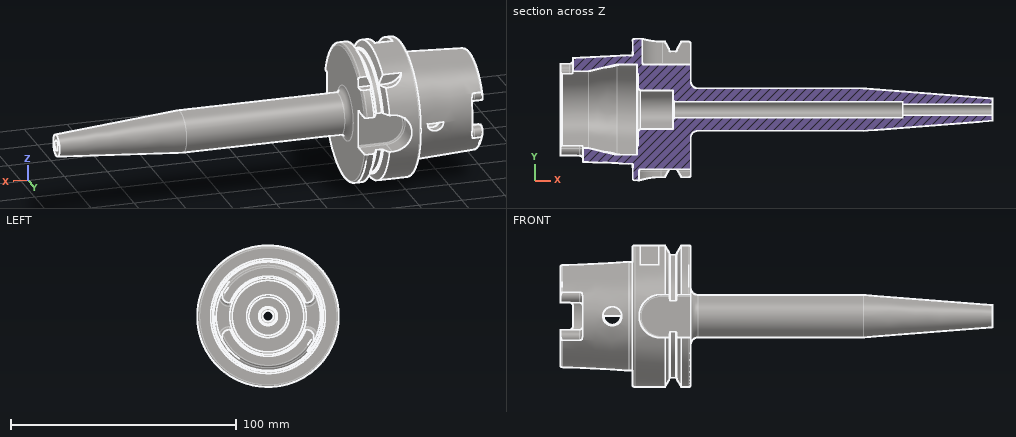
import cadquery as cq
import math


shank_length = 32.0
shank_slope = 1 / 20
gauge_radius = 48.01 / 2
gauge_distance = 6.3
shank_base_radius = gauge_radius + gauge_distance * shank_slope
shank_tip_radius = shank_base_radius - shank_length * shank_slope
shank_tip_round = 1.0
neck_width = 1.8
neck_radius = 48.24 / 2
neck_step = 0.5
face_groove_radius = 25.5
face_groove_depth = 0.4

flange_radius = 63.0 / 2
flange_width = 26.0
flange_edge_round = 1.0
groove_center = 18.1
groove_top_width = 7.2
groove_bottom_width = 3.4
groove_bottom_radius = 27.4
groove_wall_radius = flange_radius - (groove_top_width - groove_bottom_width) / 2 * math.sqrt(3)
groove_round = 0.5

nose_end = 160.0
nose_radius = 19.05 / 2
nose_root_round = 3.0
nose_taper_start = 102.5
nose_tip_radius = 10.0 / 2

mouth_radius = 34.0 / 2
mouth_chamfer = 0.8
chamber_radius = 40.0 / 2
chamber_start = -19.5
chamber_cone_end = -7.0
chamber_floor = 2.0
floor_recess_radius = 15.9
floor_recess_depth = 0.5
tube_seat_radius = 17.0 / 2
tube_seat_chamfer = 1.0
tube_seat_end = 18.0
coolant_radius = 7.0 / 2
coolant_mouth_radius = 8.4 / 2
coolant_end = 120.0
tool_bore_radius = 4.76 / 2

drive_half_width = 6.0
drive_lip_radius = 3.2
drive_end_round = 1.5
drive_front_end = -22.0
drive_back_end = -26.4

access_center = -8.9
access_radius = 7.5 / 2
access_rim_radius = 8.4 / 2
access_recess_depth = 0.2

front_slot = {"start": 3.0, "half_width": 9.6, "floor": 26.5}
back_slot = {"start": 4.5, "half_width": 8.7, "floor": 20.0}
slot_floor_round = 0.7
notch_floor = 19.8
notch_wall = 20.0
notch_radius = 8.0
notch_center = 13.0
flat_start = 3.5
flat_end = 11.7
flat_distance = 29.35
flat_angle = 22.0

reach = 2 * flange_radius


def revolve_profile(points):
    """Turn an (X, radius) outline around the X axis."""
    return cq.Workplane("XY").polyline(points).close().revolve(360, (0, 0, 0), (1, 0, 0))


def shank_radius_at(x):
    return shank_base_radius + x * shank_slope


def make_shank():
    shank = revolve_profile([
        (-shank_length, 0),
        (-shank_length, shank_tip_radius),
        (-neck_width, shank_radius_at(-neck_width)),
        (neck_step - neck_width, neck_radius),
        (face_groove_depth - neck_step, neck_radius),
        (face_groove_depth, neck_radius + neck_step),
        (face_groove_depth, 0),
    ])
    return shank.faces("<X").edges().fillet(shank_tip_round)


def make_flange():
    flange = cq.Workplane("YZ").circle(flange_radius).extrude(flange_width)
    flange = flange.edges().fillet(flange_edge_round)
    top = groove_top_width / 2
    bottom = groove_bottom_width / 2
    groove = revolve_profile([
        (groove_center - bottom, groove_bottom_radius),
        (groove_center - bottom, groove_wall_radius),
        (groove_center - top, flange_radius),
        (groove_center - top, reach),
        (groove_center + top, reach),
        (groove_center + top, flange_radius),
        (groove_center + bottom, groove_wall_radius),
        (groove_center + bottom, groove_bottom_radius),
    ])
    inner_edges = cq.selectors.RadiusNthSelector(0)
    groove = groove.edges("%CIRCLE").edges(inner_edges).fillet(groove_round)
    face_groove = cq.Workplane("YZ").circle(face_groove_radius).extrude(face_groove_depth)
    return flange.cut(groove).cut(face_groove)


def make_nose():
    root = flange_width
    corner = nose_root_round * (1 - math.sqrt(0.5))
    return (
        cq.Workplane("XY")
        .moveTo(root, 0)
        .lineTo(root, nose_radius + nose_root_round)
        .threePointArc(
            (root + corner, nose_radius + corner),
            (root + nose_root_round, nose_radius),
        )
        .lineTo(nose_taper_start, nose_radius)
        .lineTo(nose_end, nose_tip_radius)
        .lineTo(nose_end, 0)
        .close()
        .revolve(360, (0, 0, 0), (1, 0, 0))
    )


def make_bore():
    recess_floor = chamber_floor + floor_recess_depth
    coolant_mouth_end = tube_seat_end + coolant_mouth_radius - coolant_radius
    return revolve_profile([
        (-shank_length, 0),
        (-shank_length, mouth_radius + mouth_chamfer),
        (-shank_length + mouth_chamfer, mouth_radius),
        (chamber_start, mouth_radius),
        (chamber_cone_end, chamber_radius),
        (chamber_floor, chamber_radius),
        (chamber_floor, floor_recess_radius),
        (recess_floor, floor_recess_radius),
        (recess_floor, tube_seat_radius + tube_seat_chamfer),
        (recess_floor + tube_seat_chamfer, tube_seat_radius),
        (tube_seat_end, tube_seat_radius),
        (tube_seat_end, coolant_mouth_radius),
        (coolant_mouth_end, coolant_radius),
        (coolant_end, coolant_radius),
        (coolant_end, tool_bore_radius),
        (nose_end, tool_bore_radius),
        (nose_end, 0),
    ])


def make_drive_slot(side, end):
    """Slot in the shank end toward Y = side, with its outer lips rounded into the taper."""
    lip_z = drive_half_width + drive_lip_radius
    lip_angle = math.asin(lip_z / (shank_tip_radius - drive_lip_radius))
    lip_y = lip_z / math.tan(lip_angle)
    mid_angle = (lip_angle - math.pi / 2) / 2
    tip_y = lip_y + drive_lip_radius * math.cos(lip_angle)
    tip_z = lip_z + drive_lip_radius * math.sin(lip_angle)
    mid_y = lip_y + drive_lip_radius * math.cos(mid_angle)
    mid_z = lip_z + drive_lip_radius * math.sin(mid_angle)
    slot = (
        cq.Workplane("YZ", origin=(-shank_length, 0, 0))
        .moveTo(0, -drive_half_width)
        .lineTo(side * lip_y, -drive_half_width)
        .threePointArc((side * mid_y, -mid_z), (side * tip_y, -tip_z))
        .lineTo(side * reach, -tip_z)
        .lineTo(side * reach, tip_z)
        .lineTo(side * tip_y, tip_z)
        .threePointArc((side * mid_y, mid_z), (side * lip_y, drive_half_width))
        .lineTo(0, drive_half_width)
        .close()
        .extrude(shank_length + end)
    )
    return slot.faces(">X").edges("not |Z").fillet(drive_end_round)


def make_access_hole():
    """Lower half of a radial hole through both walls."""
    hole = cq.Workplane("XZ", origin=(access_center, 0, 0)).circle(access_radius).extrude(reach, both=True)
    lower_half = cq.Workplane("XY").box(reach, 2 * reach, reach, centered=(True, True, False))
    return hole.cut(lower_half)


def make_access_recess():
    """Shallow round seat that follows the taper around the front access hole."""
    core = revolve_profile([
        (-shank_length, 0),
        (-shank_length, shank_tip_radius - access_recess_depth),
        (0, shank_base_radius - access_recess_depth),
        (0, 0),
    ])
    seat = cq.Workplane("XZ", origin=(access_center, 0, 0)).circle(access_rim_radius).extrude(reach)
    return seat.cut(core)


def make_gripper_slot(side, start, half_width, floor):
    """Round-ended slot that runs out through the rear of the flange toward Y = side."""
    center = start + half_width
    slot = (
        cq.Workplane("XZ", origin=(0, side * floor, 0))
        .moveTo(reach, half_width)
        .lineTo(center, half_width)
        .threePointArc((start, 0), (center, -half_width))
        .lineTo(reach, -half_width)
        .close()
        .extrude(-side * reach)
    )
    floor_face = "<Y" if side > 0 else ">Y"
    slot = slot.faces(floor_face).edges("not >X").fillet(slot_floor_round)
    rear_stop = cq.Workplane("YZ", origin=(flange_width, 0, 0)).rect(4 * reach, 4 * reach).extrude(reach)
    return slot.cut(rear_stop)


def make_index_notch():
    corner = notch_radius * math.sqrt(0.5)
    center_z = notch_floor + notch_radius
    return (
        cq.Workplane("XZ", origin=(0, notch_wall, 0))
        .moveTo(flange_width, notch_floor)
        .lineTo(notch_center, notch_floor)
        .threePointArc(
            (notch_center - corner, center_z - corner),
            (notch_center - notch_radius, center_z),
        )
        .lineTo(flange_width, center_z)
        .close()
        .extrude(-reach)
    )


def make_flat():
    length = flat_end - flat_start
    block = cq.Workplane("XY", origin=(flat_start, 0, flat_distance)).box(
        length, reach, reach, centered=(False, True, False)
    )
    return block.rotate((0, 0, 0), (1, 0, 0), flat_angle)


result = make_shank().union(make_flange()).union(make_nose()).cut(make_bore())
result = result.cut(make_drive_slot(-1, drive_front_end)).cut(make_drive_slot(1, drive_back_end))
result = result.cut(make_access_hole()).cut(make_access_recess())
result = result.cut(make_gripper_slot(-1, **front_slot)).cut(make_gripper_slot(1, **back_slot))
result = result.cut(make_index_notch()).cut(make_flat())